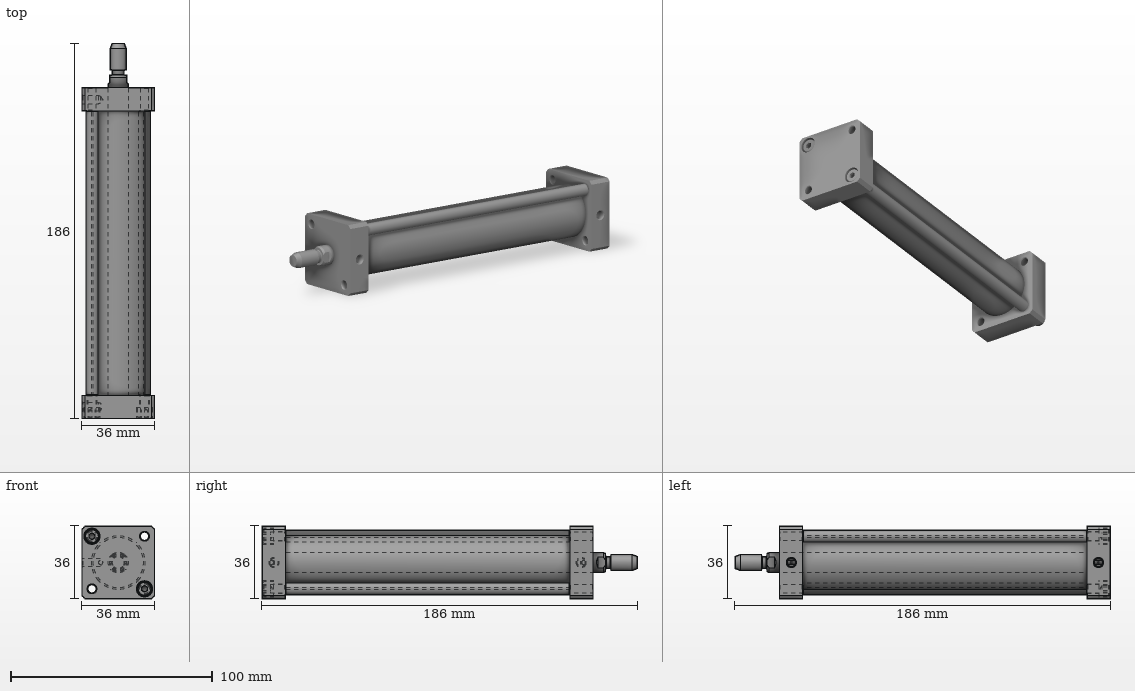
import cadquery as cq
import math

total_length = 186.0
cap_side = 36.0
cap_thickness = 11.5
cap_corner_chamfer = 1.7
rear_cap_face = 164.0
rear_cap_start = rear_cap_face - cap_thickness

tube_outer_diameter = 26.6
tube_bore_diameter = 25.0

corner_offset = 13.0
mount_hole_diameter = 4.0
mount_hole_mouth_diameter = 4.8
tie_rod_diameter = 6.0
tie_rod_shank_diameter = 4.8
tie_rod_head_diameter = 7.0
tie_rod_head_chamfer = 0.4
tie_rod_head_recess = 0.5
tie_rod_end_chamfer = 0.4
counterbore_diameter = 8.0
counterbore_depth = 5.5
socket_corner_diameter = 3.3
socket_depth = 3.7
hexagon_sides = 6
hexagon_half_angle = 180 / hexagon_sides

port_diameter = 4.0
port_mouth_diameter = 5.0
port_depth = 9.3
port_inset = 6.0
port_bar_diameter = 2.0
drill_point_angle = 118.0

rod_diameter = 10.0
rod_shoulder = 170.2
rod_shoulder_chamfer_length = 1.1
rod_shoulder_chamfer_depth = 0.5
wrench_flat_width = 8.5
wrench_flat_start = 166.5
neck_diameter = 6.0
neck_flare = 0.4
thread_start = 172.8
thread_diameter = 8.0
tip_diameter = 6.0
tip_chamfer_length = 2.6

tie_rod_corners = [(-corner_offset, corner_offset), (corner_offset, -corner_offset)]
mount_hole_corners = [(-corner_offset, -corner_offset), (corner_offset, corner_offset)]


def cylinder(diameter, start, end, x=0.0, z=0.0):
    """A cylinder along Y from start to end, centred on (x, z)."""
    return cq.Workplane(cq.Solid.makeCylinder(
        diameter / 2, end - start, cq.Vector(x, start, z), cq.Vector(0, 1, 0)))


def cone(start_diameter, end_diameter, start, length, x=0.0, z=0.0):
    """A truncated cone along Y; a negative length makes it run toward -Y."""
    direction = math.copysign(1, length)
    return cq.Workplane(cq.Solid.makeCone(
        start_diameter / 2, end_diameter / 2, abs(length),
        cq.Vector(x, start, z), cq.Vector(0, direction, 0)))


def drill(diameter, depth):
    """A blind drill shape along +Y from Y = 0, with a conical point."""
    point_length = diameter / 2 / math.tan(math.radians(drill_point_angle / 2))
    return cylinder(diameter, 0, depth).union(cone(diameter, 0, depth, point_length))


def make_cap(start, port_y):
    """A square cap with chamfered corners, two mounting holes and an air port at port_y."""
    end = start + cap_thickness
    cap = cq.Workplane("XZ", origin=(0, end, 0)).rect(cap_side, cap_side).extrude(cap_thickness)
    cap = cap.edges("|Y").chamfer(cap_corner_chamfer)
    mouth_chamfer = (mount_hole_mouth_diameter - mount_hole_diameter) / 2
    for x, z in mount_hole_corners:
        cap = cap.cut(cylinder(mount_hole_diameter, start, end, x, z))
        cap = cap.cut(cone(mount_hole_mouth_diameter, mount_hole_diameter, start, mouth_chamfer, x, z))
        cap = cap.cut(cone(mount_hole_mouth_diameter, mount_hole_diameter, end, -mouth_chamfer, x, z))
    port_chamfer = (port_mouth_diameter - port_diameter) / 2
    port = drill(port_diameter, port_depth).union(cone(port_mouth_diameter, port_diameter, 0, port_chamfer))
    port = port.rotate((0, 0, 0), (0, 0, 1), -90)
    cap = cap.cut(port.translate((-cap_side / 2, port_y, 0)))
    port_end_x = -cap_side / 2 + port_depth
    bar_reach = port_diameter / 2
    return cap.union(cylinder(port_bar_diameter, port_y - bar_reach, port_y + bar_reach, port_end_x))


def make_front_cap():
    """The cap the tie rods enter, with a counterbore over each through hole."""
    cap = make_cap(0, port_inset)
    for x, z in tie_rod_corners:
        cap = cap.cut(cylinder(tie_rod_shank_diameter, 0, cap_thickness, x, z))
        cap = cap.cut(cylinder(counterbore_diameter, 0, counterbore_depth, x, z))
    return cap


def make_rear_cap():
    """The cap that the piston rod passes through."""
    cap = make_cap(rear_cap_start, rear_cap_face - port_inset)
    return cap.cut(cylinder(rod_diameter, rear_cap_start, rear_cap_face))


def make_tube():
    """The thin-walled tube between the two caps."""
    outside = cylinder(tube_outer_diameter, cap_thickness, rear_cap_start)
    return outside.cut(cylinder(tube_bore_diameter, cap_thickness, rear_cap_start))


def make_tie_rod(x, z):
    """A tie rod between the caps, with a sunk hexagon-socket head and its shank in the front cap."""
    head = cylinder(tie_rod_head_diameter, tie_rod_head_recess, counterbore_depth)
    head = head.faces("<Y").chamfer(tie_rod_head_chamfer)
    shank = cylinder(tie_rod_shank_diameter, counterbore_depth, cap_thickness)
    middle = cylinder(tie_rod_diameter, cap_thickness, rear_cap_start)
    middle = middle.faces("<Y or >Y").chamfer(tie_rod_end_chamfer)
    rod = head.union(shank).union(middle)
    hexagon = cq.Workplane("XZ").polygon(hexagon_sides, socket_corner_diameter).extrude(-socket_depth)
    hexagon = hexagon.rotate((0, 0, 0), (0, 1, 0), hexagon_half_angle)
    flat_to_flat = socket_corner_diameter * math.cos(math.radians(hexagon_half_angle))
    socket = hexagon.union(drill(flat_to_flat, socket_depth)).translate((0, tie_rod_head_recess, 0))
    return rod.cut(socket).translate((x, 0, z))


def make_piston_rod():
    """A stepped rod from the front cap to the tip, with wrench flats, a neck and a chamfered thread."""
    radius = rod_diameter / 2
    profile = [
        (0, cap_thickness),
        (radius, cap_thickness),
        (radius, rod_shoulder - rod_shoulder_chamfer_length),
        (radius - rod_shoulder_chamfer_depth, rod_shoulder),
        (neck_diameter / 2 + neck_flare, rod_shoulder),
        (neck_diameter / 2, rod_shoulder + neck_flare),
        (neck_diameter / 2, thread_start - neck_flare),
        (neck_diameter / 2 + neck_flare, thread_start),
        (thread_diameter / 2, thread_start),
        (thread_diameter / 2, total_length - tip_chamfer_length),
        (tip_diameter / 2, total_length),
        (0, total_length),
    ]
    rod = cq.Workplane("XY").polyline(profile).close().revolve(360, (0, 0), (0, 1))
    half_width = wrench_flat_width / 2
    runout = radius - half_width
    for side in (-1, 1):
        flat = [
            (side * half_width, rod_shoulder),
            (side * half_width, wrench_flat_start),
            (side * radius, wrench_flat_start - runout),
            (side * radius, rod_shoulder),
        ]
        rod = rod.cut(cq.Workplane("XY").polyline(flat).close().extrude(radius, both=True))
    return rod


front_cap = make_front_cap()
rear_cap = make_rear_cap()
tube = make_tube()
piston_rod = make_piston_rod()
tie_rods = [make_tie_rod(x, z).val() for x, z in tie_rod_corners]

result = cq.Compound.makeCompound(
    [front_cap.val(), rear_cap.val(), tube.val(), piston_rod.val(), *tie_rods])